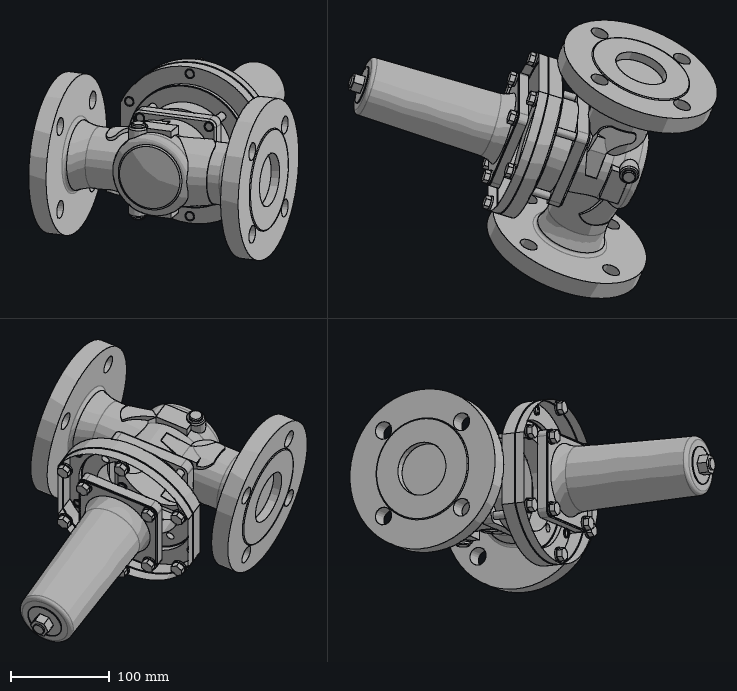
import cadquery as cq
import math


face_to_face = 230.0
overall_length = 353.5
raised_face_height = 1.0
raised_face_diameter = 105.0
raised_face_chamfer = 1.03
flange_diameter = 165.0
flange_thickness = 19.0
flange_hole_diameter = 18.0
flange_hole_circle = 125.0
bore_diameter = 54.5
bore_depth = 9.2
pipe_diameter = 63.0
hub_start_x = 73.0
hub_end_x = 91.2
hub_radius = 36.0
hub_fillet = 3.5

drum_radius = 43.0
throat_radius = 41.0
drum_bottom_y = -39.0
cap_radius = 33.0
cap_rim_y = -38.2
cap_edge_radius = 34.5
cap_edge_y = -37.0
drum_shoulder_y = -29.5
drum_top_y = -14.0
throat_start_y = -3.5

plate_width = 90.5
plate_corner_radius = 7.8
plate_bolt_offset = 37.5
lower_plate_bottom_y = 28.5
lower_plate_top_y = 42.8
neck_diameter = 95.0
stud_diameter = 8.5
stud_hole_diameter = 10.0
ring_groove_depth = 1.8
plate_edge_chamfer = 2.0
plate_bolt_points = [
    (x, z)
    for x in (-plate_bolt_offset, plate_bolt_offset)
    for z in (-plate_bolt_offset, plate_bolt_offset)
]

housing_diameter = 167.2
housing_width = 150.5
housing_bottom_y = 70.5
gasket_y = 85.2
gasket_thickness = 0.7
gasket_inset = 0.53
housing_top_y = 95.5
pilot_diameter = 130.0
pilot_bottom_y = 64.7
pilot_chamfer = 0.7
housing_bolt_count = 6
housing_bolt_radius = 76.0

upper_plate_top_y = 105.5
bonnet_step_y = 106.5
bonnet_step_inset = 1.5
bonnet_foot_radius = 37.5
bonnet_bottom_y = 121.0
flare_hollow = 0.3
bonnet_bottom_radius = 33.2
bonnet_top_y = 257.5
bonnet_top_radius = 30.5
bonnet_edge_fillet = 4.2
collar_diameter = 38.5
collar_height = 1.0
stem_hex_flats = 18.0
stem_hex_top_y = 269.0
stem_tip_diameter = 12.0

bolt_hex_flats = 12.0
bolt_head_height = 5.5
washer_diameter = 15.2
washer_height = 1.8

plug_x = -18.7
plug_y = -22.0
plug_boss_diameter = 20.0
plug_boss_top_z = 45.5
plug_collar_diameter = 18.0
plug_collar_top_z = 47.7
plug_cap_diameter = 14.0
plug_cap_edge_z = 50.0
plug_face_diameter = 12.0
plug_top_z = 51.0
name_plate_left_x = -18.7
name_plate_right_x = 17.5
name_plate_bottom_y = -23.5
name_plate_top_y = -3.5
name_plate_z = 46.5

lobe_end_x = 59.5
lobe_end_radius = 32.0
lobe_ridge_start = (0, -12.7)
lobe_crest = (50.5, 6.5)
lobe_tail_y = -11.0

rib_end_x = -58.0
rib_end_radius = 33.2
rib_ramp_x = -43.5
rib_ramp_height = 33.0
rib_bend_x = -28.3
rib_bend_height = 37.5
rib_side_x = -57.5
pad_height = 42.0
pad_end_x = -0.7
pad_top_y = 18.5
pad_bottom_y = 6.5


def y_plane(y):
    """Work plane facing +Y, with local x along X and local y along -Z."""
    return cq.Workplane(cq.Plane(origin=(0, y, 0), xDir=(1, 0, 0), normal=(0, 1, 0)))


def disc(diameter, y_start, y_end):
    return y_plane(y_start).circle(diameter / 2).extrude(y_end - y_start)


def square_plate(width, y_start, y_end):
    plate = y_plane(y_start).rect(width, width).extrude(y_end - y_start)
    return plate.edges("|Y").fillet(plate_corner_radius)


def hexagon(flats, y_start, y_end, turn):
    """Hexagonal prism along Y; with no turn two of its corners lie on X."""
    corners = flats / math.cos(math.pi / 6)
    prism = y_plane(y_start).polygon(6, corners).extrude(y_end - y_start)
    return prism.rotate((0, 0, 0), (0, 1, 0), turn)


def hex_bolt(x, z, y_seat):
    washer_top = y_seat + washer_height
    washer = disc(washer_diameter, y_seat, washer_top)
    head = hexagon(bolt_hex_flats, washer_top, washer_top + bolt_head_height, 30)
    return washer.union(head).translate((x, 0, z))


def ring_groove(x, z, y):
    """Annular gap around a stud end, cut upward from height y."""
    sketch = y_plane(y).center(x, -z).circle(stud_hole_diameter / 2).circle(stud_diameter / 2)
    return sketch.extrude(ring_groove_depth)


def pipe_run():
    half_length = face_to_face / 2
    flange_face = half_length - raised_face_height
    flange_back = flange_face - flange_thickness
    pipe_radius = pipe_diameter / 2
    raised_radius = raised_face_diameter / 2
    hub_middle = ((hub_start_x + hub_end_x) / 2, pipe_radius + (hub_radius - pipe_radius) / 4)
    hub_top = hub_radius + hub_fillet
    corner = hub_fillet * math.sqrt(0.5)
    half = (
        cq.Workplane("XY")
        .lineTo(0, pipe_radius)
        .lineTo(hub_start_x, pipe_radius)
        .threePointArc(hub_middle, (hub_end_x, hub_radius))
        .threePointArc((flange_back - hub_fillet + corner, hub_top - corner), (flange_back, hub_top))
        .lineTo(flange_back, flange_diameter / 2)
        .lineTo(flange_face, flange_diameter / 2)
        .lineTo(flange_face, raised_radius)
        .lineTo(half_length, raised_radius - raised_face_chamfer)
        .lineTo(half_length, 0)
        .close()
        .revolve(360, (0, 0, 0), (1, 0, 0))
    )
    bolt_offset = flange_hole_circle / 2 * math.sqrt(0.5)
    bolt_points = [(y, z) for y in (-bolt_offset, bolt_offset) for z in (-bolt_offset, bolt_offset)]
    flange_start = cq.Workplane("YZ", origin=(flange_back, 0, 0))
    hole_circles = flange_start.pushPoints(bolt_points).circle(flange_hole_diameter / 2)
    half = half.cut(hole_circles.extrude(flange_thickness))
    bore_floor = cq.Workplane("YZ", origin=(half_length - bore_depth, 0, 0))
    half = half.cut(bore_floor.circle(bore_diameter / 2).extrude(bore_depth))
    return half.union(half.mirror("YZ"))


def drum():
    corner = math.sqrt(0.5)
    shoulder_middle = (
        cap_edge_radius + (drum_radius - cap_edge_radius) * corner,
        drum_shoulder_y + (cap_edge_y - drum_shoulder_y) * corner,
    )
    return (
        cq.Workplane("XY")
        .moveTo(0, drum_bottom_y)
        .lineTo(cap_radius, cap_rim_y)
        .lineTo(cap_edge_radius, cap_edge_y)
        .threePointArc(shoulder_middle, (drum_radius, drum_shoulder_y))
        .lineTo(drum_radius, drum_top_y)
        .lineTo(throat_radius, throat_start_y)
        .lineTo(throat_radius, lower_plate_bottom_y)
        .lineTo(0, lower_plate_bottom_y)
        .close()
        .revolve(360, (0, 0, 0), (0, 1, 0))
    )


def outlet_lobe():
    """Tapered swelling that carries the drum into the outlet pipe."""
    cone = (
        cq.Workplane("XY")
        .lineTo(0, drum_radius)
        .lineTo(lobe_end_x, lobe_end_radius)
        .lineTo(lobe_end_x, 0)
        .close()
        .revolve(360, (0, 0, 0), (1, 0, 0))
    )
    outline = (
        cq.Workplane("XY", origin=(0, 0, -drum_radius))
        .moveTo(0, cap_edge_y)
        .lineTo(*lobe_ridge_start)
        .spline([(17.7, -11.0), (41.0, -1.8), lobe_crest], includeCurrent=True)
        .threePointArc((56.2, 0), (lobe_end_x, lobe_tail_y))
        .lineTo(lobe_end_x, cap_edge_y)
        .close()
        .extrude(2 * drum_radius)
    )
    return cone.intersect(outline)


def inlet_rib():
    """Raised rib that bends from the inlet pipe up to a flat sloped pad on the throat."""
    outline = (
        cq.Workplane("XY")
        .moveTo(rib_side_x, 10.5)
        .threePointArc((-52.5, 17.5), (-44.0, 20.5))
        .lineTo(-24.0, 25.0)
        .lineTo(pad_end_x, pad_top_y)
        .lineTo(pad_end_x, pad_bottom_y)
        .lineTo(-29.0, pad_bottom_y)
        .threePointArc((-38.2, 0), (-45.5, -12.7))
        .threePointArc((-52.5, -17.5), (rib_side_x, -11.0))
        .close()
        .extrude(drum_radius)
    )
    saddle = (
        cq.Workplane("XY")
        .moveTo(rib_end_x, 0)
        .lineTo(rib_end_x, rib_end_radius)
        .lineTo(rib_bend_x, rib_bend_height)
        .lineTo(rib_bend_x, 0)
        .close()
        .revolve(360, (0, 0, 0), (1, 0, 0))
    )
    ramp = (
        cq.Workplane("XZ")
        .moveTo(rib_ramp_x, 0)
        .lineTo(rib_ramp_x, rib_ramp_height)
        .lineTo(rib_bend_x, rib_bend_height)
        .lineTo(0, pad_height)
        .lineTo(0, 0)
        .close()
        .extrude(drum_radius, both=True)
    )
    return outline.intersect(saddle.union(ramp))


def side_plug():
    boss_radius = plug_boss_diameter / 2
    tip_radius = plug_cap_diameter / 2
    return (
        cq.Workplane("XZ")
        .lineTo(boss_radius, 0)
        .lineTo(boss_radius, plug_boss_top_z)
        .lineTo(plug_collar_diameter / 2, plug_collar_top_z)
        .lineTo(tip_radius, plug_collar_top_z)
        .lineTo(tip_radius, plug_cap_edge_z)
        .lineTo(plug_face_diameter / 2, plug_top_z)
        .lineTo(0, plug_top_z)
        .close()
        .revolve(360, (0, 0, 0), (0, 1, 0))
        .translate((plug_x, plug_y, 0))
    )


def name_plate():
    width = name_plate_right_x - name_plate_left_x
    height = name_plate_top_y - name_plate_bottom_y
    corner = (name_plate_left_x, name_plate_bottom_y)
    return cq.Workplane("XY").moveTo(*corner).rect(width, height, centered=False).extrude(name_plate_z)


def lower_clamp():
    """Square plate on the body with the neck and the four studs that rise from its corners."""
    plate = square_plate(plate_width, lower_plate_bottom_y, lower_plate_top_y)
    plate = plate.faces("<Y").chamfer(plate_edge_chamfer)
    clamp = plate.union(disc(neck_diameter, lower_plate_top_y, pilot_bottom_y))
    for x, z in plate_bolt_points:
        stud = disc(stud_diameter, lower_plate_top_y, pilot_bottom_y).translate((x, 0, z))
        clamp = clamp.union(stud).cut(ring_groove(x, z, lower_plate_bottom_y))
    return clamp


def housing_layer(inset, y_start, y_end):
    """Round layer with flats on the two X sides, drawn in by the inset all around."""
    diameter = housing_diameter - 2 * inset
    width = housing_width - 2 * inset
    flats = y_plane(y_start).rect(width, diameter).extrude(y_end - y_start)
    return disc(diameter, y_start, y_end).intersect(flats)


def diaphragm_housing():
    gasket_bottom_y = gasket_y - gasket_thickness / 2
    gasket_top_y = gasket_y + gasket_thickness / 2
    pilot = disc(pilot_diameter, pilot_bottom_y, housing_bottom_y).faces("<Y").chamfer(pilot_chamfer)
    housing = (
        housing_layer(0, housing_bottom_y, gasket_bottom_y)
        .union(housing_layer(gasket_inset, gasket_bottom_y, gasket_top_y))
        .union(housing_layer(0, gasket_top_y, housing_top_y))
        .union(pilot)
    )
    for i in range(housing_bolt_count):
        angle = math.pi / 2 + i * 2 * math.pi / housing_bolt_count
        x = housing_bolt_radius * math.cos(angle)
        z = housing_bolt_radius * math.sin(angle)
        housing = housing.cut(ring_groove(x, z, housing_bottom_y)).union(hex_bolt(x, z, housing_top_y))
    return housing


def bonnet():
    """Square foot with bolts, tapered spring cover and the adjusting screw on top."""
    step_width = plate_width - 2 * bonnet_step_inset
    foot = square_plate(plate_width, housing_top_y, upper_plate_top_y)
    foot = foot.union(square_plate(step_width, upper_plate_top_y, bonnet_step_y))
    for x, z in plate_bolt_points:
        foot = foot.union(hex_bolt(x, z, bonnet_step_y))
    flare_middle = (
        bonnet_bottom_radius + (bonnet_foot_radius - bonnet_bottom_radius) * flare_hollow,
        (bonnet_bottom_y + bonnet_step_y) / 2,
    )
    cover = (
        cq.Workplane("XY")
        .moveTo(0, bonnet_step_y)
        .lineTo(bonnet_foot_radius, bonnet_step_y)
        .threePointArc(flare_middle, (bonnet_bottom_radius, bonnet_bottom_y))
        .lineTo(bonnet_top_radius, bonnet_top_y)
        .lineTo(0, bonnet_top_y)
        .close()
        .revolve(360, (0, 0, 0), (0, 1, 0))
        .faces(">Y")
        .edges()
        .fillet(bonnet_edge_fillet)
    )
    collar_top_y = bonnet_top_y + collar_height
    stem_tip_y = overall_length - flange_diameter / 2
    return (
        foot.union(cover)
        .union(disc(collar_diameter, bonnet_top_y, collar_top_y))
        .union(hexagon(stem_hex_flats, collar_top_y, stem_hex_top_y, 0))
        .union(disc(stem_tip_diameter, stem_hex_top_y, stem_tip_y))
    )


side_details = side_plug().union(name_plate()).union(inlet_rib())
result = (
    pipe_run()
    .union(drum())
    .union(outlet_lobe())
    .union(side_details)
    .union(side_details.mirror("XY"))
    .union(lower_clamp())
    .union(diaphragm_housing())
    .union(bonnet())
)